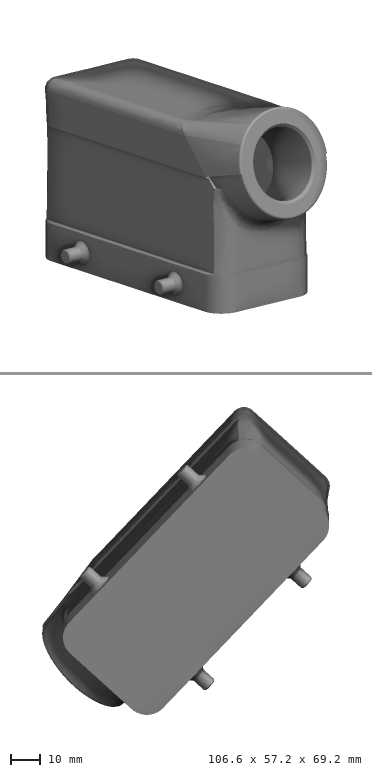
import cadquery as cq
import math

body_length = 93.3
flange_width = 42.9
flange_height = 13.0
corner_radius = 7.5

body_height = 62.5
wall_taper_start = 38.4
flange_step = 0.2
left_wall_top = 1.1
right_wall = 93.0
body_top_width = 41.9
top_corner_radius = 3.8
top_fillet = 3.7

recess_width = 40.5
recess_bevel = 0.5

pin_diameter = 5.0
pin_tip_chamfer = 0.4
pin_span = 57.2
pin_embed = 10.7
pin_height = 6.3
pin_positions = (22.9, 70.6)
collar_diameter = 8.2
collar_length = 1.8

outlet_tilt = 15
rim_x = 101.9
rim_z = 50.9
rim_radius = 19.1
lower_rim_radius = 18.6
lower_rear_half_width = recess_width / 2
lower_length = 23.4
rim_fillet = 0.7
rim_top_angle = 36
rim_side_angle = 60
cut_start_x = 72.0
cut_slope = 48
cut_run = 17.4
bore_diameter = 25.0
bore_mouth_diameter = 26.9
bore_depth = 21.3
crease_radius = 50.1
underside_fillet = 4.3

tilt = math.radians(outlet_tilt)
axis = cq.Vector(math.cos(tilt), 0, math.sin(tilt))
slope = math.radians(cut_slope)
rim_centre = cq.Vector(rim_x, 0, rim_z)

rise_to_axis = body_height - rim_z + (rim_x - cut_start_x) * math.tan(tilt)
lip_run = rise_to_axis / (math.tan(slope) + math.tan(tilt))
lip_z = body_height - lip_run * math.tan(slope)

underside_x = rim_x + lower_rim_radius * math.sin(tilt)
underside_z = rim_z - lower_rim_radius * math.cos(tilt) - (underside_x - right_wall) * math.tan(tilt)


def rounded_loop(left, right, width, radius, height):
    """Horizontal rounded rectangle, centred on the XZ plane."""
    half = width / 2
    return (
        cq.Workplane(origin=(0, 0, height))
        .moveTo(left + radius, -half)
        .lineTo(right - radius, -half)
        .radiusArc((right, radius - half), -radius)
        .lineTo(right, half - radius)
        .radiusArc((right - radius, half), -radius)
        .lineTo(left + radius, half)
        .radiusArc((left, half - radius), -radius)
        .lineTo(left, radius - half)
        .radiusArc((left + radius, -half), -radius)
        .wire().val()
    )


def straight_loft(first, last):
    """Solid with straight sides between two closed loops."""
    return cq.Workplane(cq.Solid.makeLoft([first, last], True))


def make_body():
    """Flange with two tapered stages of wall above it."""
    wall_radius = corner_radius - flange_step
    foot_width = flange_width - 2 * flange_step
    taper_share = (wall_taper_start - flange_height) / (body_height - flange_height)
    middle_left = flange_step + taper_share * (left_wall_top - flange_step)
    middle_width = foot_width + taper_share * (body_top_width - foot_width)

    ground = rounded_loop(0, body_length, flange_width, corner_radius, 0)
    flange_top = rounded_loop(0, body_length, flange_width, corner_radius, flange_height)
    foot = rounded_loop(flange_step, right_wall, foot_width, wall_radius, flange_height)
    middle = rounded_loop(middle_left, right_wall, middle_width, wall_radius, wall_taper_start)
    top = rounded_loop(left_wall_top, right_wall, body_top_width, top_corner_radius, body_height)

    upper_wall = straight_loft(middle, top).faces(">Z").edges().fillet(top_fillet)
    return straight_loft(ground, flange_top).union(straight_loft(foot, middle)).union(upper_wall)


def make_recess(side):
    """Long shallow cut in one side; its upper and lower edges are bevelled."""
    floor = side * recess_width / 2
    outside = side * flange_width / 2
    return (
        cq.Workplane("YZ")
        .polyline([
            (floor, flange_height + recess_bevel),
            (outside, flange_height),
            (outside, lip_z),
            (floor, lip_z - recess_bevel),
        ])
        .close()
        .extrude(body_length)
    )


def end_cutter(run):
    """Wedge that removes the upper right end of the body along the slope, over a run in X."""
    floor = body_height - run * math.tan(slope)
    return (
        cq.Workplane("XZ")
        .polyline([
            (cut_start_x, body_height),
            (cut_start_x + run, floor),
            (body_length, floor),
            (body_length, body_height),
        ])
        .close()
        .extrude(flange_width / 2, both=True)
    )


def outlet_plane(distance=0):
    """Plane across the outlet, a distance behind the rim; local X is Y, local Y points up."""
    origin = rim_centre - axis * distance
    return cq.Plane(origin=origin.toTuple(), xDir=(0, 1, 0), normal=axis.toTuple())


def rim_loop():
    """Upper half circle of the rim, in arcs that pair up with the sides of the body end."""
    def on_rim(angle):
        turn = math.radians(angle)
        return (rim_radius * math.sin(turn), rim_radius * math.cos(turn))

    angles = (-90, -rim_side_angle, -rim_top_angle, rim_top_angle, rim_side_angle, 90)
    loop = cq.Workplane(outlet_plane()).moveTo(*on_rim(angles[0]))
    for start, end in zip(angles, angles[1:]):
        loop = loop.threePointArc(on_rim((start + end) / 2), on_rim(end))
    return loop.close().wire().val()


def half_ellipse(distance, half_width):
    """Lower half ellipse across the outlet, a distance behind the rim."""
    return (
        cq.Workplane(outlet_plane(distance))
        .moveTo(-half_width, 0)
        .ellipseArc(half_width, lower_rim_radius, 180, 360, startAtCurrent=True)
        .close()
        .wire().val()
    )


def round_rim(outlet):
    """Fillet the curved edges of the rim, leaving the straight joint sharp."""
    rim_face = outlet.faces(cq.selectors.DirectionMinMaxSelector(axis))
    return rim_face.edges("not |Y").fillet(rim_fillet)


def make_upper_outlet(body):
    """Shell that blends the sloping end of the body into the upper half of the rim."""
    slope_normal = cq.Vector(math.sin(slope), 0, math.cos(slope))
    sloped_end = body.cut(end_cutter(lip_run)).faces(cq.selectors.ParallelDirSelector(slope_normal))
    return round_rim(straight_loft(sloped_end.val().outerWire(), rim_loop()))


def make_lower_outlet():
    """Lower half of the outlet, set in slightly from the lip of the upper half."""
    rear = half_ellipse(lower_length, lower_rear_half_width)
    return round_rim(straight_loft(rear, half_ellipse(0, lower_rim_radius)))


def make_bore():
    """Blind bore along the outlet axis with a chamfered mouth."""
    mouth_chamfer = (bore_mouth_diameter - bore_diameter) / 2
    bore = cq.Workplane(outlet_plane()).circle(bore_diameter / 2).extrude(-bore_depth)
    mouth = cq.Solid.makeCone(
        bore_mouth_diameter / 2, bore_diameter / 2, mouth_chamfer, rim_centre, axis * -1)
    return bore.union(cq.Workplane(mouth))


def make_pin(x, side):
    """Round pin with a conical collar on the flange."""
    root = cq.Vector(x, side * flange_width / 2, pin_height)
    outward = cq.Vector(0, side, 0)
    length = (pin_span - flange_width) / 2 + pin_embed
    start = root - outward * pin_embed
    shaft = cq.Workplane(cq.Solid.makeCylinder(pin_diameter / 2, length, start, outward))
    shaft = shaft.faces(">Y" if side > 0 else "<Y").chamfer(pin_tip_chamfer)
    collar = cq.Solid.makeCone(collar_diameter / 2, pin_diameter / 2, collar_length, root, outward)
    return shaft.union(cq.Workplane(collar))


body = make_body()
upper_outlet = make_upper_outlet(body)

hood = body.cut(make_recess(1)).cut(make_recess(-1)).cut(end_cutter(cut_run)).union(upper_outlet)

crease = cq.selectors.NearestToPointSelector((cut_start_x, 0, body_height))
hood = hood.edges(crease).fillet(crease_radius)

hood = hood.union(make_lower_outlet())
underside_corner = cq.selectors.NearestToPointSelector((right_wall, 0, underside_z))
hood = hood.edges(underside_corner).fillet(underside_fillet)

hood = hood.cut(make_bore())

for pin_x in pin_positions:
    for side in (1, -1):
        hood = hood.union(make_pin(pin_x, side))

result = hood